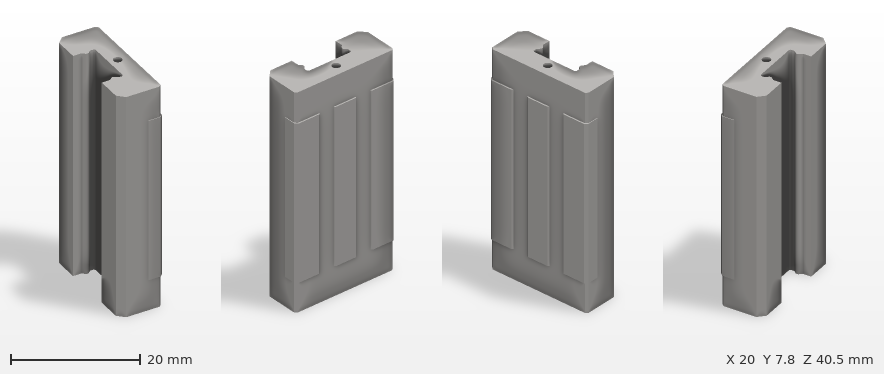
import cadquery as cq

length = 40.5
overall_width = 20.0
overall_depth = 7.8

cover_side_thickness = 0.12
cover_back_thickness = 0.265
cover_length = 29.32
cover_reach = 2.67
cover_chamfer = 0.53

groove_centre_x = 3.7
groove_width = 3.35

body_width = overall_width - 2 * cover_side_thickness
body_depth = overall_depth - cover_back_thickness
back_chamfer = 0.4
leg_chamfer = 1.17

channel_width = 8.8
channel_depth = 3.9
channel_corner_chamfer = 0.2
rib_height = 0.53
rib_base = 1.55
rib_crest_width = 0.73
rib_crest_rise = 0.15
rib_centre_y = 2.25

hole_diameter = 1.5
hole_centre_y = 5.43
hole_depth = 4.05


def make_body():
    """Full-length block with chamfered long edges; its front face lies on Y = 0."""
    block = cq.Workplane("XY").box(body_width, body_depth, length)
    block = block.translate((0, body_depth / 2, 0))
    block = block.faces("<Y").edges("|Z").chamfer(leg_chamfer)
    return block.faces(">Y").edges("|Z").chamfer(back_chamfer)


def make_channel():
    """Cutter for the rail channel, with chamfered inner corners."""
    channel = cq.Workplane("XY").box(channel_width, channel_depth, length)
    channel = channel.translate((0, channel_depth / 2, 0))
    return channel.faces(">Y").edges("|Z").chamfer(channel_corner_chamfer)


def make_rib(side):
    """Rib with sloping flanks and a rounded crest along one channel wall; side is -1 or 1."""
    wall_x = side * channel_width / 2
    crest_x = wall_x - side * rib_height
    flank_top_x = crest_x + side * rib_crest_rise
    crest_low_y = rib_centre_y - rib_crest_width / 2
    crest_high_y = rib_centre_y + rib_crest_width / 2
    return (
        cq.Workplane("XY")
        .moveTo(wall_x, rib_centre_y - rib_base / 2)
        .lineTo(flank_top_x, crest_low_y)
        .threePointArc((crest_x, rib_centre_y), (flank_top_x, crest_high_y))
        .lineTo(wall_x, rib_centre_y + rib_base / 2)
        .close()
        .extrude(length / 2, both=True)
    )


def make_cover():
    """Chamfered cover block around the back of the body."""
    cover = cq.Workplane("XY").box(overall_width, cover_reach, cover_length)
    cover = cover.translate((0, overall_depth - cover_reach / 2, 0))
    return cover.faces(">Y").edges("|Z").chamfer(cover_chamfer)


def make_groove(side):
    """Cutter with 45 degree flanks for one groove, down to the back of the body."""
    centre_x = side * groove_centre_x
    top_half = groove_width / 2
    bottom_half = top_half - cover_back_thickness
    points = [
        (centre_x - bottom_half, body_depth),
        (centre_x + bottom_half, body_depth),
        (centre_x + top_half, overall_depth),
        (centre_x - top_half, overall_depth),
    ]
    return cq.Workplane("XY").polyline(points).close().extrude(cover_length / 2, both=True)


def make_hole():
    """Cutter for the blind hole, running down from the top end."""
    top = cq.Workplane("XY", origin=(0, hole_centre_y, length / 2))
    return top.circle(hole_diameter / 2).extrude(-hole_depth)


cover = make_cover()
for side in (-1, 1):
    cover = cover.cut(make_groove(side))

result = make_body().cut(make_channel()).union(cover)
for side in (-1, 1):
    result = result.union(make_rib(side))
result = result.cut(make_hole())